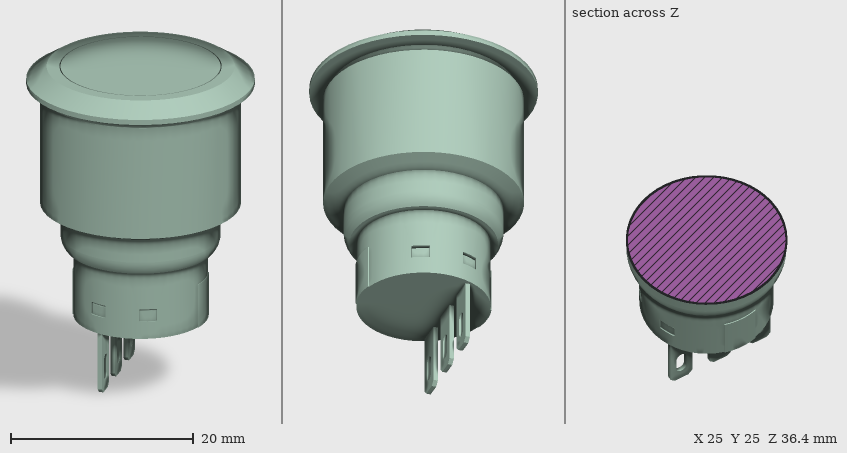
import cadquery as cq
import math

HEIGHT = 36.4
TERMINAL_LENGTH = 7.25
BASE_HEIGHT = 7.97
COLLAR_ROUND_HEIGHT = 1.53
COLLAR_HEIGHT = 4.25
TAPER_HEIGHT = 0.95
NECK_HEIGHT = 1.0
FLANGE_HEIGHT = 2.0
FLANGE_RIM_HEIGHT = 0.6

base_bottom = TERMINAL_LENGTH
collar_bottom = base_bottom + BASE_HEIGHT
collar_top = collar_bottom + COLLAR_HEIGHT
taper_top = collar_top + TAPER_HEIGHT
flange_bottom = HEIGHT - FLANGE_HEIGHT
barrel_top = flange_bottom - NECK_HEIGHT

BASE_RADIUS = 14.7 / 2
COLLAR_RADIUS = 17.5 / 2
COLLAR_EDGE_ROUND = 2.22
BARREL_RADIUS = 22.0 / 2
NECK_RADIUS = 20.8 / 2
FLANGE_RADIUS = 25.0 / 2
FLANGE_TOP_RADIUS = 20.55 / 2

BUTTON_RADIUS = 17.5 / 2
BEZEL_BORE_RADIUS = 17.75 / 2
GAP_DEPTH = 0.35

PAD_RADIUS = 7.45
PAD_WIDTH = 3.93
PAD_HEIGHT = 5.02

WINDOW_X = 2.85
WINDOW_WIDTH = 1.85
WINDOW_SILL = 2.0
WINDOW_HEIGHT = 1.45
WINDOW_FLOOR_RADIUS = 13.3 / 2
TOP_SLIT = 0.25
SIDE_SLIT = 0.1
TONGUE_RADIUS = BASE_RADIUS - 0.15

TERMINAL_X = -2.75
TERMINAL_THICKNESS = 0.5
TERMINAL_WIDTH = 2.75
TERMINAL_PITCH = 5.0
TERMINAL_CHAMFER = 0.5
EYE_WIDTH = 1.25
EYE_LENGTH = 2.9
EYE_HEIGHT = 2.73
TERMINAL_EMBED = 0.35


def collar_inset(drop):
    """Radial inset of the rounded lower collar edge at a drop below its start."""
    return COLLAR_EDGE_ROUND - math.sqrt(COLLAR_EDGE_ROUND**2 - drop**2)


def turned_body():
    """Base, collar, barrel, neck and flange as one revolved profile."""
    round_start = collar_bottom + COLLAR_ROUND_HEIGHT
    round_middle = collar_bottom + COLLAR_ROUND_HEIGHT / 2
    return (
        cq.Workplane("XZ")
        .moveTo(0, base_bottom)
        .lineTo(BASE_RADIUS, base_bottom)
        .lineTo(BASE_RADIUS, collar_bottom)
        .lineTo(COLLAR_RADIUS - collar_inset(COLLAR_ROUND_HEIGHT), collar_bottom)
        .threePointArc(
            (COLLAR_RADIUS - collar_inset(COLLAR_ROUND_HEIGHT / 2), round_middle),
            (COLLAR_RADIUS, round_start),
        )
        .lineTo(COLLAR_RADIUS, collar_top)
        .lineTo(BARREL_RADIUS, taper_top)
        .lineTo(BARREL_RADIUS, barrel_top)
        .lineTo(NECK_RADIUS, barrel_top)
        .lineTo(NECK_RADIUS, flange_bottom)
        .lineTo(FLANGE_RADIUS, flange_bottom)
        .lineTo(FLANGE_RADIUS, flange_bottom + FLANGE_RIM_HEIGHT)
        .lineTo(FLANGE_TOP_RADIUS, HEIGHT)
        .lineTo(0, HEIGHT)
        .close()
        .revolve(360, (0, 0), (0, 1))
    )


def button_gap():
    """Narrow ring groove around the push button."""
    return (
        cq.Workplane("XY", origin=(0, 0, HEIGHT - GAP_DEPTH))
        .circle(BEZEL_BORE_RADIUS)
        .circle(BUTTON_RADIUS)
        .extrude(GAP_DEPTH)
    )


def side_pads():
    """Curved pads on the -X and +X sides, flush with the bottom of the base."""
    base_level = cq.Workplane("XY", origin=(0, 0, base_bottom))
    disc = base_level.circle(PAD_RADIUS).extrude(PAD_HEIGHT)
    strip = base_level.rect(2 * FLANGE_RADIUS, PAD_WIDTH).extrude(PAD_HEIGHT)
    return disc.intersect(strip)


def latch_blocks(outer_radius, center_x, width, height):
    """Four curved blocks, two on each Y side, standing on the window sills."""
    level = cq.Workplane("XY", origin=(0, 0, base_bottom + WINDOW_SILL))
    ring = level.circle(outer_radius).circle(WINDOW_FLOOR_RADIUS).extrude(height)
    strips = (
        level.pushPoints([(-center_x, 0), (center_x, 0)])
        .rect(width, 2 * outer_radius)
        .extrude(height)
    )
    return ring.intersect(strips)


def latch_openings():
    """Material removed at the latch windows, leaving the tongues standing."""
    windows = latch_blocks(BARREL_RADIUS, WINDOW_X, WINDOW_WIDTH, WINDOW_HEIGHT)
    tongues = latch_blocks(
        TONGUE_RADIUS,
        WINDOW_X - SIDE_SLIT / 2,
        WINDOW_WIDTH - SIDE_SLIT,
        WINDOW_HEIGHT - TOP_SLIT,
    )
    return windows.cut(tongues)


def terminal(y):
    """Flat blade with clipped lower corners and a slotted eye."""
    length = TERMINAL_LENGTH + TERMINAL_EMBED
    blade = (
        cq.Workplane("XY")
        .box(TERMINAL_THICKNESS, TERMINAL_WIDTH, length, centered=(True, True, False))
        .faces("<Z")
        .edges("|X")
        .chamfer(TERMINAL_CHAMFER)
    )
    eye = (
        cq.Workplane("YZ")
        .center(0, EYE_HEIGHT)
        .slot2D(EYE_LENGTH, EYE_WIDTH, 90)
        .extrude(TERMINAL_THICKNESS, both=True)
    )
    return blade.cut(eye).translate((TERMINAL_X, y, 0))


result = turned_body().cut(button_gap()).union(side_pads()).cut(latch_openings())

for row in (-1, 0, 1):
    result = result.union(terminal(row * TERMINAL_PITCH))